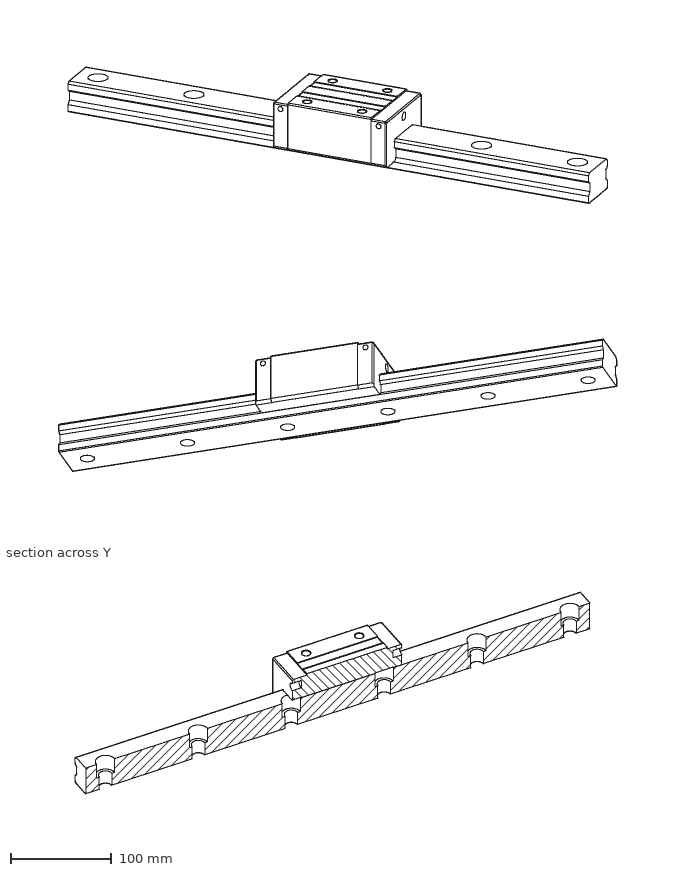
import cadquery as cq

rail_length = 570.0
block_width = 85.5
total_height = 60.0

rail_width = 45.0
rail_height = 32.5
rail_neck_width = 38.0
rail_top_width = 40.0
rail_shoulder_z = 30.0
rail_undercut_z = 23.5
neck_top_z = 21.0
neck_bottom_z = 11.8
rail_base_z = 8.0
rail_foot_chamfer = 1.0

hole_pitch = 105.0
hole_count = 6
rail_hole_dia = 14.0
rail_bore_dia = 20.0
rail_bore_depth = 17.0

block_x = 10.5
body_length = 91.0
cap_length = 16.5
block_bottom_z = 8.5
body_top_chamfer = 1.4
bottom_chamfer = 3.0
cap_top_z = total_height - 1.8
cap_width = block_width - 0.8
cap_top_chamfer = 1.3
cap_face_chamfer = 1.3

groove_inner_y = 8.5
groove_outer_y = 20.0
groove_depth = 0.8

tap_pitch = 60.0
tap_dia = 8.48
tap_depth = 20.0
tap_mouth_dia = 9.5

end_port_dia = 8.48
end_port_z = 49.0
end_port_depth = 10.0
side_port_dia = 5.2
side_port_z = 52.5
side_port_depth = 8.0

body_end = body_length / 2
block_end = body_end + cap_length


def rail_profile():
    """Closed rail section in the YZ plane, mirrored about Z."""
    half = rail_width / 2
    neck = rail_neck_width / 2
    right_side = [
        (half - rail_foot_chamfer, 0),
        (half, rail_foot_chamfer),
        (half, rail_base_z),
        (neck, neck_bottom_z),
        (neck, neck_top_z),
        (half, rail_undercut_z),
        (half, rail_shoulder_z),
        (rail_top_width / 2, rail_height),
    ]
    left_side = [(-y, z) for y, z in reversed(right_side)]
    return cq.Workplane("YZ").polyline(right_side + left_side).close()


def rail_bar():
    """Full-length rail without its mounting holes."""
    return rail_profile().extrude(rail_length / 2, both=True)


def make_rail():
    return (
        rail_bar()
        .faces(">Z")
        .workplane(origin=(0, 0, rail_height))
        .rarray(hole_pitch, 1, hole_count, 1)
        .cboreHole(rail_hole_dia, rail_bore_dia, rail_bore_depth)
    )


def block_segment(x_start, length, width, top_z, top_chamfer):
    """Length of block with chamfered top edges, running from x_start toward +X."""
    height = top_z - block_bottom_z
    return (
        cq.Workplane("XY")
        .box(length, width, height, centered=(False, True, False))
        .edges("|X and >Z")
        .chamfer(top_chamfer)
        .translate((x_start, 0, block_bottom_z))
    )


def chamfer_bottom(segment):
    """Chamfer the two long bottom edges of a block segment."""
    return segment.edges("|X and <Z").chamfer(bottom_chamfer)


def make_body():
    body = chamfer_bottom(
        block_segment(-body_end, body_length, block_width, total_height, body_top_chamfer)
    )
    groove_spacing = groove_inner_y + groove_outer_y
    grooves = (
        cq.Workplane("XY", origin=(0, 0, total_height - groove_depth))
        .rarray(1, groove_spacing, 1, 2)
        .rect(body_length, groove_outer_y - groove_inner_y)
        .extrude(groove_depth)
    )
    taps = (
        cq.Workplane("XY", origin=(0, 0, total_height - tap_depth))
        .rarray(tap_pitch, tap_pitch, 2, 2)
        .circle(tap_dia / 2)
        .extrude(tap_depth)
    )
    mouth_depth = (tap_mouth_dia - tap_dia) / 2
    mouths = (
        cq.Workplane("XY", origin=(0, 0, total_height))
        .rarray(tap_pitch, tap_pitch, 2, 2)
        .circle(tap_mouth_dia / 2)
        .extrude(-mouth_depth, taper=45)
    )
    return body.cut(grooves).cut(taps).cut(mouths)


def make_cap():
    """End cap on the +X end of the body, with its grease ports."""
    cap = chamfer_bottom(
        block_segment(body_end, cap_length, cap_width, cap_top_z, cap_top_chamfer)
        .faces(">X")
        .edges("not <Z")
        .chamfer(cap_face_chamfer)
    )
    end_port = (
        cq.Workplane("YZ", origin=(block_end - end_port_depth, 0, end_port_z))
        .circle(end_port_dia / 2)
        .extrude(end_port_depth)
    )
    cap = cap.cut(end_port)
    for side in (-1, 1):
        port_start = side * (cap_width / 2 - side_port_depth)
        side_port = (
            cq.Workplane("XZ", origin=(body_end + cap_length / 2, port_start, side_port_z))
            .circle(side_port_dia / 2)
            .extrude(-side * side_port_depth)
        )
        cap = cap.cut(side_port)
    return cap


def make_block():
    cap = make_cap()
    block = make_body().union(cap).union(cap.mirror("YZ"))
    return block.translate((block_x, 0, 0)).cut(rail_bar())


rail = make_rail()
block = make_block()

result = cq.Compound.makeCompound([rail.val(), *block.vals()])